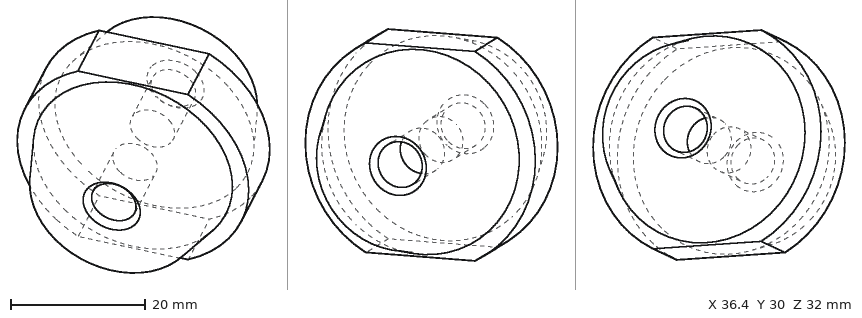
import cadquery as cq
import math

collar_diameter = 36.38
across_flats = 32.0
length = 30.0
collar_width = length / 3
end_length = (length - collar_width) / 2

cone_base_diameter = 31.3
cone_angle = 15.0
end_round = 1.5

hole_diameter = 7.0
mouth_diameter = 9.0
hole_depth = 10.9
drill_point_angle = 118.0


def make_collar():
    """Round collar with flats on its top and bottom."""
    disc = cq.Workplane("XZ").circle(collar_diameter / 2).extrude(collar_width / 2, both=True)
    return disc.intersect(cq.Workplane("XY").box(collar_diameter, collar_width, across_flats))


def make_end():
    """Tapered end on the -Y side, with a rounded outer rim."""
    taper = math.tan(math.radians(cone_angle))
    base_radius = cone_base_diameter / 2
    tip_radius = base_radius - end_length * taper
    cone = (
        cq.Workplane("XY")
        .polyline([
            (0, -collar_width / 2),
            (base_radius, -collar_width / 2),
            (tip_radius, -length / 2),
            (0, -length / 2),
        ])
        .close()
        .revolve(360, (0, 0, 0), (0, 1, 0))
    )
    return cone.faces("<Y").edges().fillet(end_round)


def make_hole():
    """Blind drilled hole with a countersunk mouth, entering from the -Y side."""
    face_y = -length / 2
    hole_radius = hole_diameter / 2
    mouth_radius = mouth_diameter / 2
    countersink_depth = mouth_radius - hole_radius
    point_depth = hole_radius / math.tan(math.radians(drill_point_angle / 2))
    return (
        cq.Workplane("XY")
        .polyline([
            (0, face_y),
            (mouth_radius, face_y),
            (hole_radius, face_y + countersink_depth),
            (hole_radius, face_y + hole_depth),
            (0, face_y + hole_depth + point_depth),
        ])
        .close()
        .revolve(360, (0, 0, 0), (0, 1, 0))
    )


front_end = make_end()
front_hole = make_hole()

result = (
    make_collar()
    .union(front_end)
    .union(front_end.mirror("XZ"))
    .cut(front_hole)
    .cut(front_hole.mirror("XZ"))
)